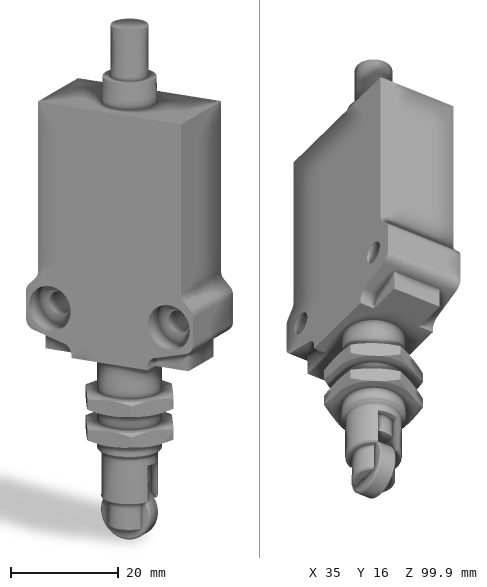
import cadquery as cq
import math

overall_height = 99.9
cable_length = 10
gland_height = 5
housing_height = 49
housing_top = overall_height - cable_length - gland_height
housing_bottom = housing_top - housing_height

body_width = 30
body_depth = 16
ear_span = 35
ear_lip = (ear_span - body_width) / 2
ear_shoulder_z = 48.5
ear_fillet = 2
neck_width = 16
cutout_corner_z = 38.2
underside_angle = 15
ear_underside_z = cutout_corner_z + (ear_span - neck_width) / 2 * math.tan(math.radians(underside_angle))
pad_depth = 10

hole_spacing = 25
hole_z = 45
hole_diameter = 4.4
counterbore_diameter = 8.7
counterbore_depth = 4

cable_diameter = 7
gland_base_diameter = 10.4
gland_top_diameter = 10

thread_diameter = 12
thread_end_z = 16.8
sleeve_diameter = 10.5
thread_taper = (thread_diameter - sleeve_diameter) / 2
sleeve_bore = 8.1
sleeve_end_z = 7.8
sleeve_slot_top = 15.2

plunger_diameter = 8
plunger_end_z = 2.4
fork_slot_top = 11.4
slot_width = 4.1
end_chamfer = 0.3

roller_diameter = 10.4
roller_width = 3.5
roller_chamfer = 0.3
roller_z = roller_diameter / 2
hub_diameter = 5.6

nut_flats = 16
nut_corners = nut_flats / math.cos(math.radians(30))
nut_height = 3
nut_corner_drop = 0.5
nut_pitch = 6
lower_nut_z = 19.9
nut_count = 2


def rod(diameter, bottom, top):
    """Vertical cylinder on the switch axis."""
    return cq.Workplane("XY").workplane(offset=bottom).circle(diameter / 2).extrude(top - bottom)


def block(width, depth, bottom, top):
    """Upright box centred on the switch axis."""
    return cq.Workplane("XY").workplane(offset=bottom).rect(width, depth).extrude(top - bottom)


def cross_disc(diameter, width):
    """Disc on the roller's axis, which runs along Y."""
    return cq.Workplane("XZ").center(0, roller_z).circle(diameter / 2).extrude(width / 2, both=True)


def make_housing():
    right_side = [
        (body_width / 2, housing_top),
        (body_width / 2, ear_shoulder_z + ear_lip),
        (ear_span / 2, ear_shoulder_z),
        (ear_span / 2, ear_underside_z),
        (neck_width / 2, cutout_corner_z),
        (neck_width / 2, housing_bottom),
    ]
    left_side = [(-x, z) for x, z in reversed(right_side)]
    outline = cq.Workplane("XZ").polyline(right_side + left_side).close()
    housing = outline.extrude(body_depth / 2, both=True)

    margin = ear_fillet / 4
    bends = cq.selectors.BoxSelector(
        (-ear_span, -body_depth, housing_bottom + margin),
        (ear_span, body_depth, housing_top - margin),
    )
    housing = housing.edges("|Y").edges(bends).fillet(ear_fillet)
    housing = housing.union(block(body_width, pad_depth, housing_bottom, ear_underside_z))

    front_face = cq.Workplane("XZ", origin=(0, -body_depth / 2, hole_z))
    holes = front_face.pushPoints([(-hole_spacing / 2, 0), (hole_spacing / 2, 0)])
    through_holes = holes.circle(hole_diameter / 2).extrude(-body_depth)
    counterbores = holes.circle(counterbore_diameter / 2).extrude(-counterbore_depth)
    return housing.cut(through_holes).cut(counterbores)


def make_cable_entry():
    gland = (
        cq.Workplane("XY").workplane(offset=housing_top).circle(gland_base_diameter / 2)
        .workplane(offset=gland_height).circle(gland_top_diameter / 2).loft()
    )
    return gland.union(rod(cable_diameter, housing_top, overall_height))


def make_stem():
    """Thread, slotted sleeve and forked plunger."""
    thread = rod(thread_diameter, thread_end_z, housing_bottom).faces("<Z").chamfer(thread_taper)
    sleeve = rod(sleeve_diameter, sleeve_end_z, thread_end_z).faces("<Z").chamfer(end_chamfer)
    sleeve = sleeve.cut(block(sleeve_diameter, slot_width, sleeve_end_z, sleeve_slot_top))
    sleeve = sleeve.cut(rod(sleeve_bore, sleeve_end_z, thread_end_z))
    plunger = rod(plunger_diameter, plunger_end_z, thread_end_z).faces("<Z").chamfer(end_chamfer)
    fork_slot = block(sleeve_diameter, slot_width, plunger_end_z, fork_slot_top)
    return thread.union(sleeve).union(plunger).cut(fork_slot)


def make_roller():
    roller = cross_disc(roller_diameter, roller_width).edges().chamfer(roller_chamfer)
    return roller.union(cross_disc(hub_diameter, slot_width))


def make_switch():
    return make_housing().union(make_cable_entry()).union(make_stem()).union(make_roller())


def make_nut(bottom):
    """Lock nut with its corners on the X axis and both faces chamfered."""
    nut = cq.Workplane("XY").polygon(6, nut_corners).extrude(nut_height)
    blank_profile = [
        (0, 0),
        (nut_flats / 2, 0),
        (nut_corners / 2, nut_corner_drop),
        (nut_corners / 2, nut_height - nut_corner_drop),
        (nut_flats / 2, nut_height),
        (0, nut_height),
    ]
    blank = cq.Workplane("XZ").polyline(blank_profile).close().revolve(360, (0, 0), (0, 1))
    nut = nut.intersect(blank).cut(rod(thread_diameter, 0, nut_height))
    return nut.translate((0, 0, bottom))


switch = make_switch()
nuts = [make_nut(lower_nut_z + i * nut_pitch) for i in range(nut_count)]

result = cq.Compound.makeCompound([switch.val(), *[nut.val() for nut in nuts]])